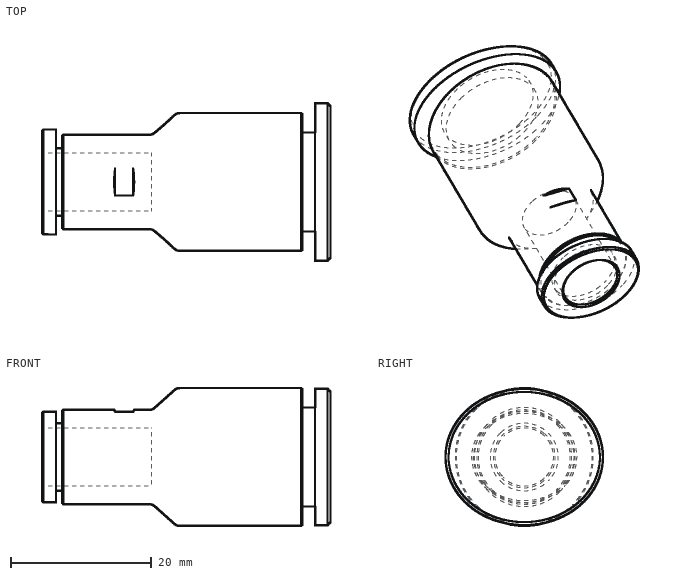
import cadquery as cq


LENGTH = 41.2
SMALL_COLLAR_END = 2.0
SMALL_BODY_START = 2.9
CONE_START = 15.8
CONE_END = 19.25
LARGE_BODY_END = 37.15
LARGE_COLLAR_START = 38.98

SMALL_BODY_DIAMETER = 13.5
LARGE_BODY_DIAMETER = 19.7
SMALL_NECK_DIAMETER = 9.7
LARGE_NECK_DIAMETER = 14.17
CONE_BLEND_RADIUS = 1.0
SMALL_BODY_CHAMFER = 0.2
LARGE_BODY_CHAMFER = 0.15

SMALL_COLLAR_WIDTH = 15.0
SMALL_COLLAR_HEIGHT = 12.98
SMALL_COLLAR_CHAMFER = 0.25
LARGE_COLLAR_WIDTH = 22.5
LARGE_COLLAR_HEIGHT = 19.5
LARGE_COLLAR_CHAMFER = 0.45

SOCKET_DIAMETER = 8.32
SOCKET_DEPTH = 15.65
SOCKET_CHAMFER = 0.25

RECESS_START = 10.45
RECESS_FLOOR_LENGTH = 2.55
RECESS_DEPTH = 0.3
RECESS_END_RUN = 0.15


def cylinder(start, end, diameter):
    """Cylinder about the X axis between two stations."""
    return cq.Workplane("YZ", origin=(start, 0, 0)).circle(diameter / 2).extrude(end - start)


def oval_collar(start, end, width, height, outer_face, chamfer):
    """Elliptical disc with a chamfered rim on its outer face."""
    disc = cq.Workplane("YZ", origin=(start, 0, 0)).ellipse(width / 2, height / 2).extrude(end - start)
    return disc.faces(outer_face).chamfer(chamfer)


def stepped_body():
    """Small and large barrels joined by a cone with rounded transitions."""
    small_radius = SMALL_BODY_DIAMETER / 2
    large_radius = LARGE_BODY_DIAMETER / 2
    barrel = (
        cq.Workplane("XZ")
        .moveTo(SMALL_BODY_START, 0)
        .lineTo(SMALL_BODY_START, small_radius)
        .lineTo(CONE_START, small_radius)
        .lineTo(CONE_END, large_radius)
        .lineTo(LARGE_BODY_END, large_radius)
        .lineTo(LARGE_BODY_END, 0)
        .close()
        .revolve(360, (0, 0, 0), (1, 0, 0))
    )
    barrel = barrel.faces("%CONE").edges("%CIRCLE").fillet(CONE_BLEND_RADIUS)
    barrel = barrel.faces("<X").chamfer(SMALL_BODY_CHAMFER)
    return barrel.faces(">X").chamfer(LARGE_BODY_CHAMFER)


def tube_socket():
    """Blind bore with a countersunk mouth, as a solid to cut away."""
    bore = cylinder(0, SOCKET_DEPTH, SOCKET_DIAMETER)
    mouth_radius = SOCKET_DIAMETER / 2 + SOCKET_CHAMFER
    mouth = cq.Workplane(
        cq.Solid.makeCone(
            mouth_radius, SOCKET_DIAMETER / 2, SOCKET_CHAMFER, cq.Vector(0, 0, 0), cq.Vector(1, 0, 0)
        )
    )
    return bore.union(mouth)


def top_recess():
    """Trapezoidal cutter whose ends open outward up to the top of the small body."""
    top = SMALL_BODY_DIAMETER / 2
    floor = top - RECESS_DEPTH
    recess_end = RECESS_START + RECESS_FLOOR_LENGTH
    return (
        cq.Workplane("XZ")
        .moveTo(RECESS_START, floor)
        .lineTo(recess_end, floor)
        .lineTo(recess_end + RECESS_END_RUN, top)
        .lineTo(RECESS_START - RECESS_END_RUN, top)
        .close()
        .extrude(SMALL_BODY_DIAMETER / 2, both=True)
    )


small_collar = oval_collar(
    0, SMALL_COLLAR_END, SMALL_COLLAR_WIDTH, SMALL_COLLAR_HEIGHT, "<X", SMALL_COLLAR_CHAMFER
)
large_collar = oval_collar(
    LARGE_COLLAR_START, LENGTH, LARGE_COLLAR_WIDTH, LARGE_COLLAR_HEIGHT, ">X", LARGE_COLLAR_CHAMFER
)

result = (
    stepped_body()
    .union(cylinder(SMALL_COLLAR_END, SMALL_BODY_START, SMALL_NECK_DIAMETER))
    .union(cylinder(LARGE_BODY_END, LARGE_COLLAR_START, LARGE_NECK_DIAMETER))
    .union(small_collar)
    .union(large_collar)
    .cut(tube_socket())
    .cut(top_recess())
)